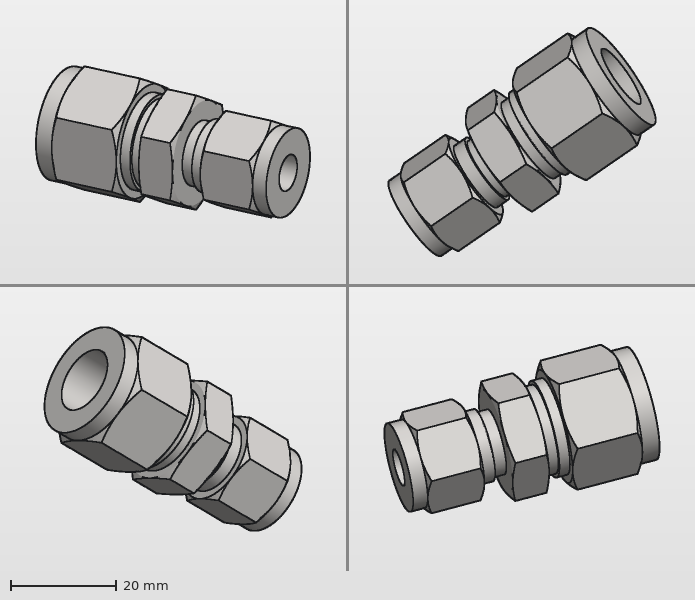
import cadquery as cq
import math


large_collar_end = 3.45
large_nut_end = 17.4
large_ring_end = 19.5
large_neck_end = 21.85
body_hex_end = 29.1
small_neck_end = 31.6
small_ring_end = 34.25
small_nut_end = 45.6
total_length = 48.5

large_nut_flats = 22.2
body_hex_flats = 20.55
small_nut_flats = 17.4

large_collar_diameter = large_nut_flats
large_ring_diameter = 19.0
large_neck_diameter = 17.55
small_neck_diameter = 12.8
small_ring_diameter = 14.25
small_collar_diameter = small_nut_flats

socket_diameter = 12.7
socket_depth = large_neck_end
bore_diameter = 7.15

nut_chamfer_angle = 30.0
body_chamfer_angle = 18.0


def cylinder(start, end, diameter):
    """Round section along X from start to end."""
    return cq.Workplane("YZ", origin=(start, 0, 0)).circle(diameter / 2).extrude(end - start)


def chamfered_hexagon(start, end, flats, chamfer_angle):
    """Hexagon with corners up and down, its corners turned to a cone at both ends."""
    corner_radius = flats / math.sqrt(3)
    prism = (
        cq.Workplane("YZ", origin=(start, 0, 0))
        .transformed(rotate=(0, 0, 90))
        .polygon(6, 2 * corner_radius)
        .extrude(end - start)
    )
    face_radius = flats / 2
    chamfer_depth = (corner_radius - face_radius) * math.tan(math.radians(chamfer_angle))
    turned_envelope = (
        cq.Workplane("XY")
        .moveTo(start, 0)
        .lineTo(start, face_radius)
        .lineTo(start + chamfer_depth, corner_radius)
        .lineTo(end - chamfer_depth, corner_radius)
        .lineTo(end, face_radius)
        .lineTo(end, 0)
        .close()
        .revolve(360, (0, 0, 0), (1, 0, 0))
    )
    return prism.intersect(turned_envelope)


large_nut = chamfered_hexagon(large_collar_end, large_nut_end, large_nut_flats, nut_chamfer_angle)
body_hex = chamfered_hexagon(large_neck_end, body_hex_end, body_hex_flats, body_chamfer_angle)
small_nut = chamfered_hexagon(small_ring_end, small_nut_end, small_nut_flats, nut_chamfer_angle)

fitting = (
    cylinder(0, large_collar_end, large_collar_diameter)
    .union(large_nut)
    .union(cylinder(large_nut_end, large_ring_end, large_ring_diameter))
    .union(cylinder(large_ring_end, large_neck_end, large_neck_diameter))
    .union(body_hex)
    .union(cylinder(body_hex_end, small_neck_end, small_neck_diameter))
    .union(cylinder(small_neck_end, small_ring_end, small_ring_diameter))
    .union(small_nut)
    .union(cylinder(small_nut_end, total_length, small_collar_diameter))
)

socket = cylinder(0, socket_depth, socket_diameter)
bore = cylinder(0, total_length, bore_diameter)
result = fitting.cut(socket).cut(bore)